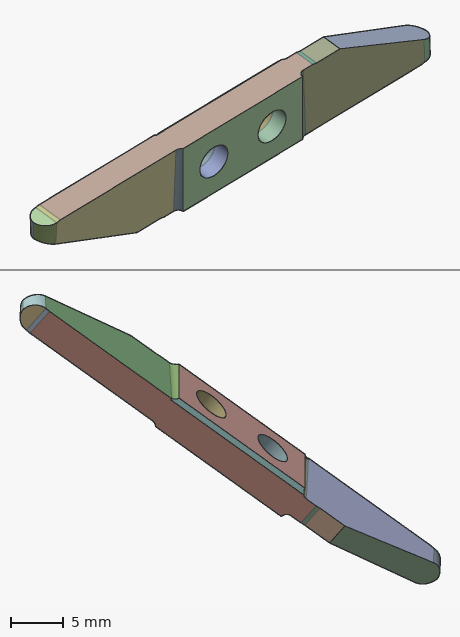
import cadquery as cq

LENGTH = 50.5
HEIGHT = 8.0
PAD_WIDTH = 3.6

THICK_EDGE = 3.0
THIN_EDGE = 2.3
TIP_ARC_RUN = 1.6
TIP_HEIGHT = 2.1
SLOPE_START = 13.05
RELIEF = 0.1
RELIEF_RUN = 0.45
THIN_RELIEF_START = 9.55
TIP_RELIEF_START = 23.2

PAD_HALF_LENGTH = 7.7
BLEND_RUN = 0.65
PAD_CHAMFER = 0.45

HOLE_DIAMETER = 3.6
HOLE_SPACING = 7.45

HALF_LENGTH = LENGTH / 2
HALF_HEIGHT = HEIGHT / 2
TIP_ARC_START = HALF_LENGTH - TIP_ARC_RUN
BLEND_END = PAD_HALF_LENGTH + BLEND_RUN


def arc_middle(face_x, tangent_y, run, step):
    """Intermediate point of an arc that leaves a blade face tangentially.

    The arc runs along Y by run while it moves away from the face by step.
    """
    radius = (run**2 + step**2) / (2 * step)
    half_run = run / 2
    rise = radius - (radius**2 - half_run**2) ** 0.5
    return face_x + rise, tangent_y + half_run


def half_plan(workplane, blade_width):
    """Plan outline of half the pad and one blade, at one height."""
    pad_x = PAD_WIDTH / 2
    blade_x = blade_width / 2
    blend_x, blend_y = arc_middle(blade_x, -BLEND_END, BLEND_RUN, pad_x - blade_x)
    tip_x, tip_y = arc_middle(-blade_x, TIP_ARC_START, TIP_ARC_RUN, blade_x)
    return (
        workplane.moveTo(-pad_x, 0)
        .lineTo(pad_x, 0)
        .lineTo(pad_x, PAD_HALF_LENGTH)
        .threePointArc((blend_x, -blend_y), (blade_x, BLEND_END))
        .lineTo(blade_x, TIP_ARC_START)
        .threePointArc((-tip_x, tip_y), (0, HALF_LENGTH))
        .threePointArc((tip_x, tip_y), (-blade_x, TIP_ARC_START))
        .lineTo(-blade_x, BLEND_END)
        .threePointArc((-blend_x, -blend_y), (-pad_x, PAD_HALF_LENGTH))
        .close()
    )


def tapered_half():
    """Half the part, thick at the bottom and thin at the top."""
    outline = half_plan(cq.Workplane("XY", origin=(0, 0, -HALF_HEIGHT)), THICK_EDGE)
    return half_plan(outline.workplane(offset=HEIGHT), THIN_EDGE).loft(ruled=True)


def side_profile():
    """Side outline of one half, with its sloped edge and shallow reliefs."""
    return (
        cq.Workplane("YZ")
        .polyline([
            (0, -HALF_HEIGHT),
            (TIP_RELIEF_START, -HALF_HEIGHT),
            (TIP_RELIEF_START + RELIEF_RUN, -HALF_HEIGHT + RELIEF),
            (HALF_LENGTH, -HALF_HEIGHT + RELIEF),
            (HALF_LENGTH, -HALF_HEIGHT + TIP_HEIGHT),
            (SLOPE_START, HALF_HEIGHT - RELIEF),
            (THIN_RELIEF_START + RELIEF_RUN, HALF_HEIGHT - RELIEF),
            (THIN_RELIEF_START, HALF_HEIGHT),
            (0, HALF_HEIGHT),
        ])
        .close()
        .extrude(PAD_WIDTH / 2, both=True)
    )


def pad_chamfer(end):
    """Wedge removed from the upper (+1) or lower (-1) long edge of the -X pad face."""
    pad_x = -PAD_WIDTH / 2
    edge_z = end * HALF_HEIGHT
    return (
        cq.Workplane("XZ")
        .polyline([
            (pad_x, edge_z),
            (pad_x + PAD_CHAMFER, edge_z),
            (pad_x, edge_z - end * PAD_CHAMFER),
        ])
        .close()
        .extrude(BLEND_END, both=True)
    )


half = tapered_half().intersect(side_profile())
opposite_half = half.rotate((0, 0, 0), (1, 0, 0), 180)
body = half.union(opposite_half)

for end in (-1, 1):
    body = body.cut(pad_chamfer(end))

holes = (
    cq.Workplane("YZ")
    .pushPoints([(-HOLE_SPACING / 2, 0), (HOLE_SPACING / 2, 0)])
    .circle(HOLE_DIAMETER / 2)
    .extrude(PAD_WIDTH, both=True)
)

result = body.cut(holes)